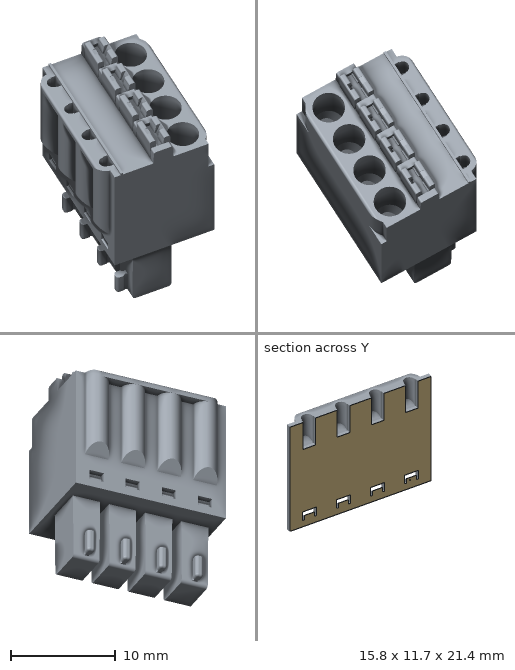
import cadquery as cq
poles = 4
pitch = 3.8
pole_x = [(i - (poles - 1) / 2) * pitch for i in range(poles)]

height = 21.4
body_width = 15.84
body_depth = 10.6
body_bottom = 6.7
body_top = 19.17
rear_edge_radius = 0.32

entry_y = 8.32
entry_diameter = 3.1
entry_floor_length = 2.46
entry_floor_width = 1.9
entry_bore_depth = 4.28
entry_funnel_depth = 0.85
corner_wall_radius = 2.25
corner_ledge_y = 10.0
corner_ledge_z = 15.96

rib_front = 0.65
rib_back = 0.9
rib_height = 0.21

bump_protrusion = 1.11
bump_radius = 1.25
bump_bottom = 10.1
lip_bottom = 18.51
lip_edge_radius = 0.28

pocket_width = 1.35
pocket_front = 0.13
pocket_bore_diameter = 1.2
pocket_bore_y = 0.06
pocket_depth = 3.2

window_width = 1.5
window_bottom = 7.51
window_top = 8.47
window_depth = 0.66
sill_width = 1.2
sill_front = 0.21
sill_height = 0.3

key_top_width = 2.87
key_tip_width = 2.74
key_front = 2.31
key_back = 6.45
key_tip_radius = 0.36

stud_width = 0.81
stud_root_width = 0.55
stud_neck_width = 0.35
stud_tip_y = 1.11
stud_neck_length = 0.21
stud_flare_length = 0.3
stud_nose_radius = 0.3
stud_bottom = 0.36
stud_top = 2.55
stud_foot_radius = 0.25

lever_width = 2.87
lever_front = 4.13
lever_back = 6.3
lever_floor = 20.33
post_thickness = 0.66
post_edge_radius = 0.21
post_taper = 0.15
front_ledge_depth = 0.15
front_ledge_height = 0.17
post_straight = 0.28
notch_width = 0.68
front_notch_drop = 0.1
rear_notch_inset = 0.2
bar_front = 4.1
bar_back = 6.25
bar_top = 20.65
bar_draft = 0.09
bar_edge_radius = 0.2
lever_gap = 0.09


def box(x_min, x_max, y_min, y_max, z_min, z_max):
    """Block given by its limits along the three axes."""
    size = (x_max - x_min, y_max - y_min, z_max - z_min)
    return cq.Workplane("XY").box(*size, centered=False).translate((x_min, y_min, z_min))


def extrude_along_x(profile, width):
    """Extrude a closed (Y, Z) outline by a width centred on X = 0."""
    return cq.Workplane("YZ").polyline(profile).close().extrude(width / 2, both=True)


def join_poles(part, shape):
    """Add one copy of the shape to the part at every pole."""
    for x in pole_x:
        part = part.union(shape.translate((x, 0, 0)))
    return part


def cut_poles(part, shape):
    """Remove one copy of the shape from the part at every pole."""
    for x in pole_x:
        part = part.cut(shape.translate((x, 0, 0)))
    return part


def make_body():
    """Housing block with a rounded rear edge, stepped rear corners and a cross rib."""
    half = body_width / 2
    body = box(-half, half, 0, body_depth, body_bottom, body_top)
    body = body.edges(">Y and >Z").fillet(rear_edge_radius)
    for side in (-1, 1):
        corner_x = side * pole_x[-1]
        x_min, x_max = sorted((corner_x, side * half))
        corner = box(x_min, x_max, corner_ledge_y, body_depth, corner_ledge_z, body_top)
        round_wall = (cq.Workplane("XY", origin=(corner_x, entry_y, corner_ledge_z))
                      .circle(corner_wall_radius).extrude(body_top - corner_ledge_z))
        body = body.cut(corner.cut(round_wall))
    return body.union(box(-half, half, rib_front, rib_back, body_top, body_top + rib_height))


def make_entry():
    """Wire entry: a round bore ending in a funnel with an elliptical floor."""
    bore_end = body_top - entry_bore_depth
    bore = (cq.Workplane("XY", origin=(0, entry_y, bore_end))
            .circle(entry_diameter / 2).extrude(entry_bore_depth))
    funnel = (cq.Workplane("XY", origin=(0, entry_y, bore_end - entry_funnel_depth))
              .ellipse(entry_floor_length / 2, entry_floor_width / 2)
              .workplane(offset=entry_funnel_depth)
              .circle(entry_diameter / 2)
              .loft())
    return bore.union(funnel)


def make_front_bumps():
    """Row of half-round bumps under a lip, chamfered below and rounded above."""
    bump = (cq.Workplane("XY", origin=(0, bump_radius - bump_protrusion, bump_bottom))
            .circle(bump_radius).extrude(body_top - bump_bottom))
    row = box(pole_x[0], pole_x[-1], -bump_protrusion, rib_front, lip_bottom, body_top)
    row = join_poles(row, bump)
    envelope = (cq.Workplane("YZ")
                .moveTo(rib_front, bump_bottom)
                .lineTo(0, bump_bottom)
                .lineTo(-bump_protrusion, bump_bottom + bump_protrusion)
                .lineTo(-bump_protrusion, body_top - lip_edge_radius)
                .radiusArc((lip_edge_radius - bump_protrusion, body_top), lip_edge_radius)
                .lineTo(rib_front, body_top)
                .close()
                .extrude(body_width / 2, both=True))
    return row.intersect(envelope)


def make_pocket():
    """Test pocket: a rectangular slot, and a bore with a floor rising at 45 degrees to the front."""
    floor_z = body_top - pocket_depth
    slot = box(-pocket_width / 2, pocket_width / 2, pocket_front, rib_front, floor_z, body_top)
    bore = (cq.Workplane("XY", origin=(0, pocket_bore_y, floor_z))
            .circle(pocket_bore_diameter / 2).extrude(pocket_depth))
    bore_front = pocket_bore_y - pocket_bore_diameter / 2
    space_above_ramp = extrude_along_x([(pocket_front, floor_z),
                                        (bore_front, floor_z + pocket_front - bore_front),
                                        (bore_front, body_top),
                                        (pocket_front, body_top)], pocket_width)
    return slot.union(bore.intersect(space_above_ramp))


def make_window():
    """Rectangular window with a sloping sill standing inside it."""
    window = box(-window_width / 2, window_width / 2, 0, window_depth, window_bottom, window_top)
    sill_z = window_bottom + sill_height
    sill = extrude_along_x([(sill_front, window_bottom),
                            (sill_front, sill_z),
                            (window_depth, sill_z + window_depth - sill_front),
                            (window_depth, window_bottom)], sill_width)
    return window.cut(sill)


def make_key():
    """Key tapering in width toward a tip with rounded front and rear edges."""
    key = (cq.Workplane("XZ", origin=(0, key_front, 0))
           .polyline([(-key_tip_width / 2, 0), (key_tip_width / 2, 0),
                      (key_top_width / 2, body_bottom), (-key_top_width / 2, body_bottom)])
           .close()
           .extrude(key_front - key_back))
    return key.edges("<Z and |X").fillet(key_tip_radius)


def make_stud():
    """Stud on a neck tapering away from the key, with a rounded nose and a rounded foot."""
    neck_end = key_front - stud_neck_length
    head_back = neck_end - stud_flare_length
    head = (cq.Workplane("XY", origin=(0, 0, stud_bottom))
            .polyline([(-stud_neck_width / 2, neck_end), (-stud_width / 2, head_back),
                       (-stud_width / 2, stud_tip_y), (stud_width / 2, stud_tip_y),
                       (stud_width / 2, head_back), (stud_neck_width / 2, neck_end)])
            .close()
            .extrude(stud_top - stud_bottom))
    head = head.edges("|Z and <Y").fillet(stud_nose_radius)
    head = head.faces("<Y").edges("<Z").fillet(stud_foot_radius)
    neck = (cq.Workplane("XY", origin=(0, 0, stud_bottom))
            .polyline([(-stud_neck_width / 2, neck_end), (stud_neck_width / 2, neck_end),
                       (stud_root_width / 2, key_front), (-stud_root_width / 2, key_front)])
            .close()
            .extrude(stud_top - stud_bottom))
    return head.union(neck)


def make_lever():
    """Release lever: two rounded posts, notched in the middle, with a floor between them."""
    front_inner = lever_front + post_thickness
    back_inner = lever_back - post_thickness
    shoulder = height - post_straight
    ledge_z = lever_floor + front_ledge_height
    ledge_end = front_inner + front_ledge_depth
    lever = extrude_along_x([(lever_front, body_top), (lever_front, height),
                             (front_inner, height), (front_inner, ledge_z),
                             (ledge_end, ledge_z), (ledge_end, lever_floor),
                             (back_inner - post_taper, lever_floor),
                             (back_inner, shoulder), (back_inner, height),
                             (lever_back, height), (lever_back, body_top)], lever_width)
    lever = lever.edges(">Z and |X").fillet(post_edge_radius)
    front_notch = extrude_along_x([(lever_front + post_edge_radius, height),
                                   (front_inner, height - front_notch_drop),
                                   (front_inner, lever_floor),
                                   (ledge_end, lever_floor),
                                   (ledge_end, height)], notch_width)
    rear_notch = extrude_along_x([(back_inner - post_taper, lever_floor),
                                  (back_inner, lever_floor),
                                  (lever_back - rear_notch_inset, height),
                                  (back_inner - post_taper, height)], notch_width)
    return lever.cut(front_notch).cut(rear_notch)


def make_bar():
    """Drafted bar along the whole body, interrupted by a clearance at every lever."""
    bar = extrude_along_x([(bar_front, body_top), (bar_back, body_top),
                           (bar_back - bar_draft, bar_top), (bar_front + bar_draft, bar_top)],
                          body_width)
    bar = bar.edges(">Z and |X").fillet(bar_edge_radius)
    half_slot = lever_width / 2 + lever_gap
    return cut_poles(bar, box(-half_slot, half_slot, 0, body_depth, body_top, height))


result = make_body().union(make_front_bumps()).union(make_bar())
for feature in (make_lever(), make_key(), make_stud()):
    result = join_poles(result, feature)
for feature in (make_entry(), make_pocket(), make_window()):
    result = cut_poles(result, feature)